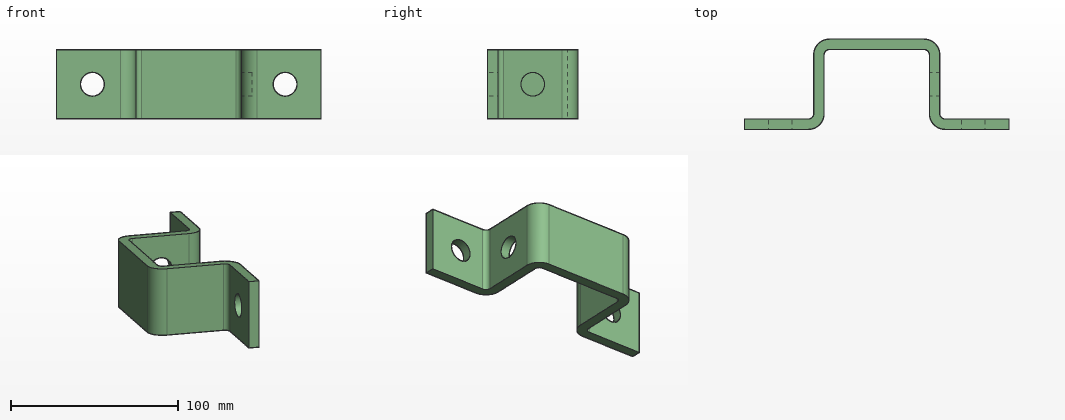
import cadquery as cq

length = 158.0
depth = 54.0
width = 41.2

thickness = 6.3
inner_radius = 3.2
outer_radius = inner_radius + thickness

hat_width = 75.3
hole_diameter = 14.0
flange_hole_spacing = 115.0

half_length = length / 2
half_hat = hat_width / 2
half_inside = half_hat - thickness
front = -depth / 2
back = depth / 2


def hat_strip():
    """Sharp-cornered hat section extruded across the strip width."""
    right_side = [
        (half_inside, back - thickness),
        (half_inside, front),
        (half_length, front),
        (half_length, front + thickness),
        (half_hat, front + thickness),
        (half_hat, back),
    ]
    left_side = [(-x, y) for x, y in reversed(right_side)]
    return cq.Workplane("XY").polyline(right_side + left_side).close().extrude(width / 2, both=True)


def bend_edges(points):
    """Select the vertical edges at the given corners and their mirror images."""
    reach = thickness / 4
    selector = None
    for x, y in points:
        for side in (-1, 1):
            box = cq.selectors.BoxSelector(
                (side * x - reach, y - reach, -reach),
                (side * x + reach, y + reach, reach),
            )
            selector = box if selector is None else selector + box
    return selector


def flange_holes():
    """Mounting holes through both flanges, along Y."""
    return (
        cq.Workplane("XZ")
        .pushPoints([(-flange_hole_spacing / 2, 0), (flange_hole_spacing / 2, 0)])
        .circle(hole_diameter / 2)
        .extrude(depth, both=True)
    )


def wall_hole():
    """Single hole through the middle of the +X wall only."""
    return cq.Workplane("YZ").circle(hole_diameter / 2).extrude(half_length)


inside_bends = [(half_inside, back - thickness), (half_hat, front + thickness)]
outside_bends = [(half_inside, front), (half_hat, back)]

strip = hat_strip()
strip = strip.edges(bend_edges(inside_bends)).fillet(inner_radius)
strip = strip.edges(bend_edges(outside_bends)).fillet(outer_radius)

result = strip.cut(flange_holes()).cut(wall_hole())